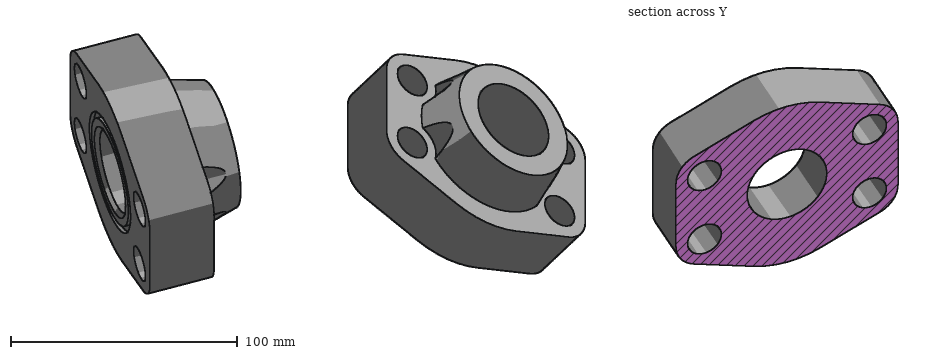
import cadquery as cq
import math

plate_length = 107.0
plate_thickness = 30.0
crown_radius = 45.0

bolt_spacing_x = 79.38
bolt_spacing_z = 36.5
bolt_hole_diameter = 16.0
bolt_relief_diameter = 25.5

overall_depth = 51.0
neck_tip_diameter = 58.3
neck_taper_angle = 15.0

bore_diameter = 38.0
bore_chamfer = 1.9

groove_outer_diameter = 55.4
groove_inner_diameter = 49.4
groove_depth = 2.0

bolt_x = bolt_spacing_x / 2
bolt_z = bolt_spacing_z / 2
corner_radius = plate_length / 2 - bolt_x
neck_length = overall_depth - plate_thickness
neck_base_diameter = neck_tip_diameter + 2 * neck_length * math.tan(math.radians(neck_taper_angle))
bolt_points = [(sx * bolt_x, sz * bolt_z) for sx in (-1, 1) for sz in (-1, 1)]


def plane_at(y):
    """XZ plane at position y, with local x = X, local y = Z and its normal along -Y."""
    return cq.Workplane("XZ", origin=(0, y, 0))


def plate():
    """Crowned plate: corner arcs about the bolt holes joined by tangents to the crown arcs."""
    center_distance = math.hypot(bolt_x, bolt_z)
    center_angle = math.atan2(bolt_z, bolt_x)
    tangent_angle = center_angle + math.acos((crown_radius - corner_radius) / center_distance)
    crown_x = crown_radius * math.cos(tangent_angle)
    crown_z = crown_radius * math.sin(tangent_angle)
    corner_x = bolt_x + corner_radius * math.cos(tangent_angle)
    corner_z = bolt_z + corner_radius * math.sin(tangent_angle)
    side_x = plate_length / 2
    corner_mid_x = bolt_x + corner_radius * math.cos(tangent_angle / 2)
    corner_mid_z = bolt_z + corner_radius * math.sin(tangent_angle / 2)
    outline = (
        plane_at(0)
        .moveTo(-crown_x, crown_z)
        .threePointArc((0, crown_radius), (crown_x, crown_z))
        .lineTo(corner_x, corner_z)
        .threePointArc((corner_mid_x, corner_mid_z), (side_x, bolt_z))
        .lineTo(side_x, -bolt_z)
        .threePointArc((corner_mid_x, -corner_mid_z), (corner_x, -corner_z))
        .lineTo(crown_x, -crown_z)
        .threePointArc((0, -crown_radius), (-crown_x, -crown_z))
        .lineTo(-corner_x, -corner_z)
        .threePointArc((-corner_mid_x, -corner_mid_z), (-side_x, -bolt_z))
        .lineTo(-side_x, bolt_z)
        .threePointArc((-corner_mid_x, corner_mid_z), (-corner_x, corner_z))
        .close()
    )
    return outline.extrude(-plate_thickness)


def neck():
    """Cone frustum with reliefs that give the bolt heads clearance above the plate."""
    profile = [
        (0, plate_thickness),
        (neck_base_diameter / 2, plate_thickness),
        (neck_tip_diameter / 2, overall_depth),
        (0, overall_depth),
    ]
    cone = cq.Workplane("XY").polyline(profile).close().revolve(360, (0, 0), (0, 1))
    reliefs = (
        plane_at(plate_thickness)
        .pushPoints(bolt_points)
        .circle(bolt_relief_diameter / 2)
        .extrude(-neck_length)
    )
    return cone.cut(reliefs)


def bolt_holes():
    return (
        plane_at(0)
        .pushPoints(bolt_points)
        .circle(bolt_hole_diameter / 2)
        .extrude(-plate_thickness)
    )


def bore():
    """Through bore with a conical mouth at the sealing face."""
    profile = [
        (0, 0),
        (bore_diameter / 2 + bore_chamfer, 0),
        (bore_diameter / 2, bore_chamfer),
        (bore_diameter / 2, overall_depth),
        (0, overall_depth),
    ]
    return cq.Workplane("XY").polyline(profile).close().revolve(360, (0, 0), (0, 1))


def seal_groove():
    return (
        plane_at(0)
        .circle(groove_outer_diameter / 2)
        .circle(groove_inner_diameter / 2)
        .extrude(-groove_depth)
    )


result = plate().union(neck()).cut(bolt_holes()).cut(bore()).cut(seal_groove())